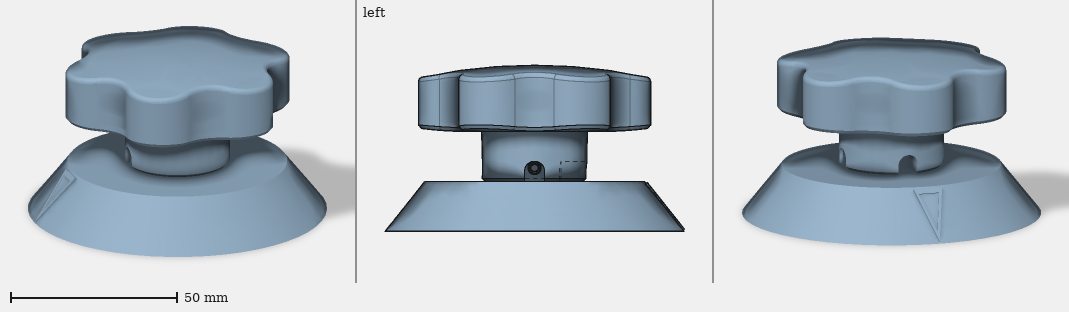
import cadquery as cq
import math

SKIRT_DIAMETER = 90.0
SKIRT_TOP_DIAMETER = 66.0
SKIRT_HEIGHT = 15.05

NECK_TOP_DIAMETER = 32.0
NECK_BOTTOM_DIAMETER = 31.4
NECK_CHAMFER = 0.9

TOTAL_HEIGHT = 50.0
GRIP_BOTTOM = 30.0
LOBE_COUNT = 6
FIRST_LOBE_ANGLE = 90
LOBE_TIP_RADIUS = 35.0
VALLEY_FLOOR_RADIUS = 27.75
LOBE_RADIUS = 10.6
DOME_RADIUS = 162.2
UNDERSIDE_FLAT_RADIUS = 19.3
UNDERSIDE_CURVE_RADIUS = 117.1
RIM_SEARCH_RADIUS = 25.2
TOP_FILLET = 1.5
BOTTOM_CHAMFER = 1.0

SLOT_ANGLES = (0, -90)
SLOT_WIDTH = 6.0
SLOT_ARCH_HEIGHT = 6.0
HUB_DIAMETER = 16.0

SCREW_DIAMETER = 4.0
SCREW_HEIGHT = 4.05
SCREW_PROJECTION = 0.3
SCREW_CHAMFER = 0.3
SOCKET_CORNER_DIAMETER = 2.3
SOCKET_MOUTH_DIAMETER = 2.6
SOCKET_MOUTH_TAPER = 50.0
SOCKET_DEPTH = 1.8

POINTER_HALF_WIDTH = 4.5
POINTER_TIP_SLOPE = 0.48
POINTER_TOP_SLOPE = 18.5
POINTER_THICKNESS = 0.5
POINTER_SIDE_BORDER = 0.8
POINTER_TOP_BORDER = 1.7
POINTER_RECESS = 0.4
POINTER_ROOT = 0.45

skirt_radius = SKIRT_DIAMETER / 2
skirt_top_radius = SKIRT_TOP_DIAMETER / 2
slant_angle = math.atan2(skirt_radius - skirt_top_radius, SKIRT_HEIGHT)


def make_skirt():
    outline = [(0, 0), (skirt_radius, 0), (skirt_top_radius, SKIRT_HEIGHT), (0, SKIRT_HEIGHT)]
    return cq.Workplane("XZ").polyline(outline).close().revolve(360, (0, 0), (0, 1))


def make_neck():
    neck_height = GRIP_BOTTOM - SKIRT_HEIGHT
    bottom = cq.Workplane("XY").workplane(offset=SKIRT_HEIGHT).circle(NECK_BOTTOM_DIAMETER / 2)
    neck = bottom.workplane(offset=neck_height).circle(NECK_TOP_DIAMETER / 2).loft()
    return neck.faces("<Z").edges().chamfer(NECK_CHAMFER)


def make_slot_cutter(angle):
    """Arched prism pointing along -Y, turned by angle, stopping at the hub."""
    half_width = SLOT_WIDTH / 2
    spring_z = SKIRT_HEIGHT + SLOT_ARCH_HEIGHT - half_width
    prism = (
        cq.Workplane("XZ")
        .moveTo(-half_width, SKIRT_HEIGHT)
        .lineTo(half_width, SKIRT_HEIGHT)
        .lineTo(half_width, spring_z)
        .threePointArc((0, spring_z + half_width), (-half_width, spring_z))
        .close()
        .extrude(NECK_TOP_DIAMETER)
    )
    hub = cq.Workplane("XY").circle(HUB_DIAMETER / 2).extrude(TOTAL_HEIGHT)
    return prism.cut(hub).rotate((0, 0, 0), (0, 0, 1), angle)


def make_set_screw():
    """Screw body and the hexagon socket to be cut into its end."""
    end_x = HUB_DIAMETER / 2 + SCREW_PROJECTION
    end_plane = cq.Plane((-end_x, 0, SKIRT_HEIGHT + SCREW_HEIGHT), xDir=(0, 0, 1), normal=(-1, 0, 0))
    screw = cq.Workplane(end_plane).circle(SCREW_DIAMETER / 2).extrude(-end_x)
    screw = screw.faces("<X").edges().chamfer(SCREW_CHAMFER)
    hexagon = cq.Workplane(end_plane).polygon(6, SOCKET_CORNER_DIAMETER).extrude(-SOCKET_DEPTH)
    mouth_radius = SOCKET_MOUTH_DIAMETER / 2
    mouth = cq.Workplane(end_plane).circle(mouth_radius).extrude(-mouth_radius, taper=SOCKET_MOUTH_TAPER)
    return screw, hexagon.union(mouth)


def polar(radius, degrees):
    return (radius * math.cos(math.radians(degrees)), radius * math.sin(math.radians(degrees)))


def make_grip_outline():
    """Closed outline of lobe and valley arcs that meet tangentially."""
    half_pitch = 180 / LOBE_COUNT
    lobe_center = LOBE_TIP_RADIUS - LOBE_RADIUS
    reach = VALLEY_FLOOR_RADIUS - LOBE_RADIUS
    valley_center = (lobe_center**2 - reach**2) / (
        2 * (lobe_center * math.cos(math.radians(half_pitch)) - reach)
    )
    valley_x, valley_y = polar(valley_center, half_pitch)
    tangent_angle = math.atan2(valley_y, valley_x - lobe_center)
    tangent_x = lobe_center + LOBE_RADIUS * math.cos(tangent_angle)
    tangent_y = LOBE_RADIUS * math.sin(tangent_angle)
    tangent_radius = math.hypot(tangent_x, tangent_y)
    tangent_offset = math.degrees(math.atan2(tangent_y, tangent_x))

    pitch = 2 * half_pitch
    outline = cq.Workplane("XY").moveTo(*polar(tangent_radius, FIRST_LOBE_ANGLE - tangent_offset))
    for index in range(LOBE_COUNT):
        lobe = FIRST_LOBE_ANGLE + index * pitch
        outline = outline.threePointArc(
            polar(LOBE_TIP_RADIUS, lobe), polar(tangent_radius, lobe + tangent_offset)
        )
        outline = outline.threePointArc(
            polar(VALLEY_FLOOR_RADIUS, lobe + half_pitch),
            polar(tangent_radius, lobe + pitch - tangent_offset),
        )
    return outline.close()


def dome_z(radius):
    """Height of the domed top at a distance from the axis."""
    return TOTAL_HEIGHT - DOME_RADIUS + math.sqrt(DOME_RADIUS**2 - radius**2)


def underside_z(radius):
    """Height of the underside: an arc tangent to the flat ring around the neck."""
    run = radius - UNDERSIDE_FLAT_RADIUS
    return GRIP_BOTTOM + UNDERSIDE_CURVE_RADIUS - math.sqrt(UNDERSIDE_CURVE_RADIUS**2 - run**2)


def is_rim(edge):
    """True for edges along the lobed outline, false for seams and rings nearer the axis."""
    center = edge.Center()
    return math.hypot(center.x, center.y) > RIM_SEARCH_RADIUS


def make_grip():
    middle_radius = (UNDERSIDE_FLAT_RADIUS + LOBE_TIP_RADIUS) / 2
    top_rim_z = dome_z(LOBE_TIP_RADIUS)
    bottom_rim_z = underside_z(LOBE_TIP_RADIUS)
    envelope = (
        cq.Workplane("XZ")
        .moveTo(0, GRIP_BOTTOM)
        .lineTo(UNDERSIDE_FLAT_RADIUS, GRIP_BOTTOM)
        .threePointArc((middle_radius, underside_z(middle_radius)), (LOBE_TIP_RADIUS, bottom_rim_z))
        .lineTo(LOBE_TIP_RADIUS, top_rim_z)
        .threePointArc((LOBE_TIP_RADIUS / 2, dome_z(LOBE_TIP_RADIUS / 2)), (0, TOTAL_HEIGHT))
        .close()
        .revolve(360, (0, 0), (0, 1))
    )
    grip = make_grip_outline().extrude(TOTAL_HEIGHT).intersect(envelope)
    top_rim = grip.edges().filter(lambda edge: is_rim(edge) and edge.Center().z > top_rim_z)
    grip = top_rim.fillet(TOP_FILLET)
    bottom_rim = grip.edges().filter(lambda edge: is_rim(edge) and edge.Center().z < bottom_rim_z)
    return bottom_rim.chamfer(BOTTOM_CHAMFER)


def make_pointer():
    """Raised triangle and the smaller triangle sunk into its face."""
    flank = cq.Plane(
        (0, -skirt_radius, 0),
        xDir=(1, 0, 0),
        normal=(0, -math.cos(slant_angle), math.sin(slant_angle)),
    )
    side_angle = math.atan2(POINTER_HALF_WIDTH, POINTER_TOP_SLOPE - POINTER_TIP_SLOPE)
    inner_tip = POINTER_TIP_SLOPE + POINTER_SIDE_BORDER / math.sin(side_angle)
    inner_top = POINTER_TOP_SLOPE - POINTER_TOP_BORDER
    inner_half_width = (inner_top - inner_tip) * math.tan(side_angle)

    face = cq.Workplane(flank).workplane(offset=POINTER_THICKNESS)

    def triangle(half_width, top, tip, depth):
        corners = [(-half_width, top), (half_width, top), (0, tip)]
        return face.polyline(corners).close().extrude(-depth)

    plate_depth = POINTER_THICKNESS + POINTER_ROOT
    plate = triangle(POINTER_HALF_WIDTH, POINTER_TOP_SLOPE, POINTER_TIP_SLOPE, plate_depth)
    recess = triangle(inner_half_width, inner_top, inner_tip, POINTER_RECESS)
    return plate.cut(recess)


result = make_skirt().union(make_neck()).union(make_grip())
for slot_angle in SLOT_ANGLES:
    result = result.cut(make_slot_cutter(slot_angle))
screw, socket = make_set_screw()
result = result.union(screw).cut(socket).union(make_pointer())